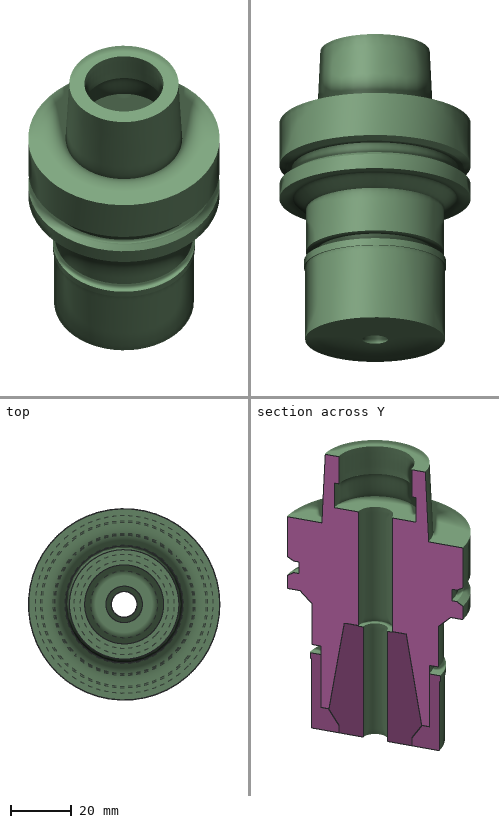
import cadquery as cq

total_height = 100.0
flange_top = 75.0
groove_top_edge = 60.4
groove_top = 59.2
groove_bottom = 55.2
groove_bottom_edge = 53.8
flange_bottom = 48.9
shank_top = 45.0
shank_bottom = 30.2
nut_top = 27.3
collar_bottom = 25.0

taper_top_diameter = 36.0
taper_base_diameter = 38.4
flange_diameter = 63.0
groove_bevel_diameter = 58.5
groove_diameter = 55.0
cone_top_diameter = 54.0
shank_diameter = 45.5
neck_diameter = 39.0
nut_diameter = 46.0
collar_diameter = 46.8

socket_diameter = 26.0
socket_lip_depth = 10.0
undercut_diameter = 29.0
socket_depth = 18.7
passage_diameter = 12.0
collet_bore_diameter = 8.4
collet_top_diameter = 22.0
collet_shoulder_diameter = 33.0
collet_front_diameter = 26.0
collet_top = 40.0
collet_shoulder = 8.0
nut_face_thickness = 3.0


def revolve_profile(diameter_height_pairs):
    """Revolve a closed profile, given as (diameter, height) points, about Z."""
    points = [(diameter / 2, height) for diameter, height in diameter_height_pairs]
    return cq.Workplane("XZ").polyline(points).close().revolve(360, (0, 0, 0), (0, 1, 0))


def make_collet_blank():
    """Collet envelope: a long upper cone and a short cone facing the nut."""
    return revolve_profile([
        (0, 0),
        (collet_front_diameter, 0),
        (collet_front_diameter, nut_face_thickness),
        (collet_shoulder_diameter, collet_shoulder),
        (collet_top_diameter, collet_top),
        (0, collet_top),
    ])


def make_collet():
    bore = cq.Workplane("XY").circle(collet_bore_diameter / 2).extrude(collet_top)
    return make_collet_blank().cut(bore)


def make_holder():
    """Tool holder: taper with an undercut socket, grooved flange, shank and the neck that enters the nut."""
    body = revolve_profile([
        (0, collet_shoulder),
        (neck_diameter, collet_shoulder),
        (neck_diameter, shank_bottom),
        (shank_diameter, shank_bottom),
        (shank_diameter, shank_top),
        (cone_top_diameter, flange_bottom),
        (flange_diameter, flange_bottom),
        (flange_diameter, groove_bottom_edge),
        (groove_bevel_diameter, groove_bottom),
        (groove_diameter, groove_bottom),
        (groove_diameter, groove_top),
        (groove_bevel_diameter, groove_top),
        (flange_diameter, groove_top_edge),
        (flange_diameter, flange_top),
        (taper_base_diameter, flange_top),
        (taper_top_diameter, total_height),
        (0, total_height),
    ])
    socket = revolve_profile([
        (0, total_height - socket_depth),
        (undercut_diameter, total_height - socket_depth),
        (undercut_diameter, total_height - socket_lip_depth),
        (socket_diameter, total_height - socket_lip_depth),
        (socket_diameter, total_height),
        (0, total_height),
    ])
    passage = cq.Workplane("XY").circle(passage_diameter / 2).extrude(total_height)
    return body.cut(socket).cut(passage).cut(make_collet_blank())


def make_nut():
    """Clamping nut with a collar at its top and a seat for the collet and neck."""
    body = revolve_profile([
        (0, 0),
        (nut_diameter, 0),
        (nut_diameter, collar_bottom),
        (collar_diameter, collar_bottom),
        (collar_diameter, nut_top),
        (0, nut_top),
    ])
    neck_recess = (
        cq.Workplane("XY").workplane(offset=collet_shoulder)
        .circle(neck_diameter / 2).extrude(nut_top - collet_shoulder)
    )
    return body.cut(neck_recess).cut(make_collet_blank())


holder = make_holder()
nut = make_nut()
collet = make_collet()

result = cq.Compound.makeCompound([holder.val(), nut.val(), collet.val()])